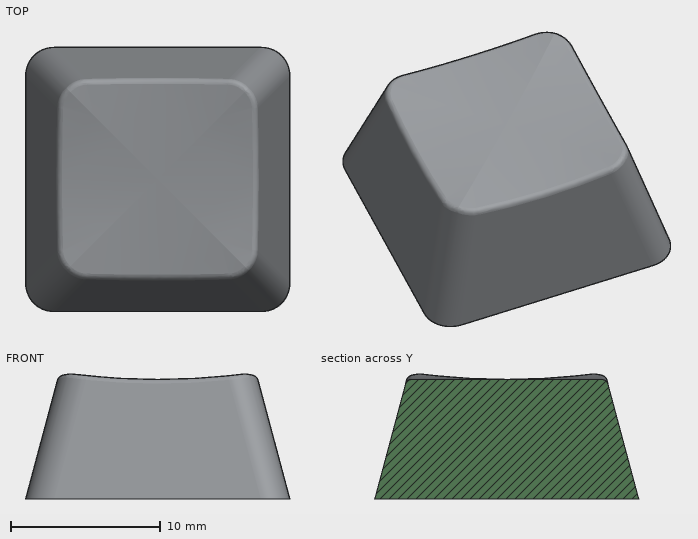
import cadquery as cq

base_side = 17.7
wall_draft = 15.0
corner_radius = 2.0
blank_height = 10.62

dish_floor = 8.02
dish_radius = 45.67
rim_fillet = 0.4


def drafted_body():
    """Square block with sloping walls and rounded upright corners."""
    block = cq.Workplane("XY").rect(base_side, base_side).extrude(blank_height, taper=wall_draft)
    upright_edges = block.edges("not(#Z)").edges("not(|X or |Y)")
    return upright_edges.fillet(corner_radius)


def trough():
    """Horizontal cylinder along Y whose lowest line lies on the dish floor."""
    return (
        cq.Workplane("XZ")
        .center(0, dish_floor + dish_radius)
        .circle(dish_radius)
        .extrude(base_side, both=True)
    )


def troughed_body():
    """Body hollowed by one trough, with its rim rounded."""
    body = drafted_body().cut(trough())
    return body.faces(">Z").edges().fillet(rim_fillet)


def front_quarter():
    """Quarter of the cap between the two diagonals, around the -Y axis."""
    wedge = (
        cq.Workplane("XY")
        .polyline([(0, 0), (-base_side, -base_side), (base_side, -base_side)])
        .close()
        .extrude(blank_height)
    )
    return troughed_body().intersect(wedge)


quarter = front_quarter()
result = quarter
for quarter_turn in (90, 180, 270):
    result = result.union(quarter.rotate((0, 0, 0), (0, 0, 1), quarter_turn))